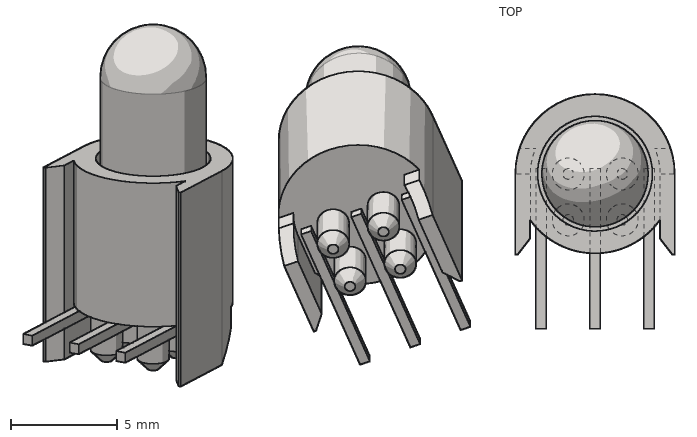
import cadquery as cq
import math


body_radius = 3.75
body_bottom = 2.5
body_top = 9.6
bore_radius = 2.7
bore_floor = 1.0
bore_bottom = body_bottom + bore_floor

led_radius = 2.5
overall_height = 16.1
dome_base = overall_height - led_radius

wing_thickness = 0.7
wing_inner = body_radius - wing_thickness
wing_front = -3.8
wing_back = 1.2
tip_width = 0.12
tip_length = 0.75
bevel_height = 1.5

post_radius = 0.75
post_spacing = 2.54
post_chamfer = 0.5
front_row = -2.16

lead_width = 0.5
lead_pitch = 2.54
lead_front = -7.3
lead_back = lead_width / 2


def arc_point(radius, y):
    """Point at the given Y on the +X side of a circle about the axis."""
    return (math.sqrt(radius**2 - y**2), y)


def make_body():
    """Upper holder: round body with both wings beside it and a blind bore for the LED."""
    tip_inner = body_radius - tip_width
    wing_root = -math.sqrt(body_radius**2 - wing_inner**2)
    outline = (
        cq.Workplane("XY")
        .workplane(offset=body_bottom)
        .moveTo(body_radius, wing_front)
        .lineTo(body_radius, 0)
        .threePointArc((0, body_radius), (-body_radius, 0))
        .lineTo(-body_radius, wing_front)
        .lineTo(-tip_inner, wing_front)
        .lineTo(-wing_inner, wing_front + tip_length)
        .lineTo(-wing_inner, wing_root)
        .threePointArc((0, -body_radius), (wing_inner, wing_root))
        .lineTo(wing_inner, wing_front + tip_length)
        .lineTo(tip_inner, wing_front)
        .close()
    )
    body = outline.extrude(body_top - body_bottom)
    bore = cq.Workplane("XY").workplane(offset=bore_bottom).circle(bore_radius).extrude(body_top - bore_bottom)
    return body.cut(bore)


def make_led():
    """Domed LED standing on the floor of the bore."""
    return (
        cq.Workplane("XZ")
        .moveTo(0, bore_bottom)
        .lineTo(led_radius, bore_bottom)
        .lineTo(led_radius, dome_base)
        .radiusArc((0, overall_height), -led_radius)
        .close()
        .revolve(360, (0, 0, 0), (0, 1, 0))
    )


def make_wing():
    """Wing below the body on the +X side: flat in front of the axis, a ring segment behind it."""
    wing = (
        cq.Workplane("XY")
        .moveTo(body_radius, wing_front)
        .lineTo(body_radius, 0)
        .threePointArc(arc_point(body_radius, wing_back / 2), arc_point(body_radius, wing_back))
        .lineTo(*arc_point(wing_inner, wing_back))
        .threePointArc(arc_point(wing_inner, wing_back / 2), (wing_inner, 0))
        .lineTo(wing_inner, wing_front + tip_length)
        .lineTo(body_radius - tip_width, wing_front)
        .close()
        .extrude(body_bottom)
    )
    bevel = (
        cq.Workplane("YZ")
        .polyline([(0, 0), (wing_back, 0), (wing_back, bevel_height)])
        .close()
        .extrude(body_radius)
    )
    return wing.cut(bevel)


def make_post(x, y):
    """Locating post under the body with a chamfered end."""
    post = cq.Workplane("XY").center(x, y).circle(post_radius).extrude(body_bottom)
    return post.faces("<Z").chamfer(post_chamfer)


def make_lead(x):
    """Square lead running forward along the underside of the body."""
    lead_length = lead_back - lead_front
    lead = cq.Workplane("XY").box(lead_width, lead_length, lead_width, centered=(True, False, False))
    return lead.translate((x, lead_front, body_bottom - lead_width))


result = make_body().union(make_led())

right_wing = make_wing()
result = result.union(right_wing).union(right_wing.mirror("YZ"))

for side in (-1, 1):
    for row_y in (0, front_row):
        result = result.union(make_post(side * post_spacing / 2, row_y))

for position in (-1, 0, 1):
    result = result.union(make_lead(position * lead_pitch))